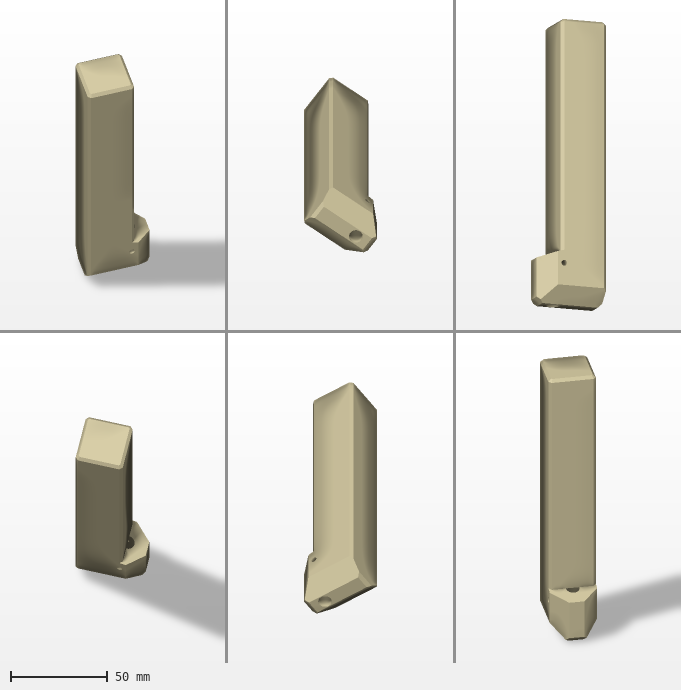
import cadquery as cq
import math

width = 25.0
length = 150.0
head_depth = 35.5
shank_depth = width

shank_chamfer = 1.5
head_chamfer = 8.5
front_toe_chamfer = 1.8
back_toe_chamfer = 3.2

head_back_height = 24.0
head_slope = math.radians(15)

cross_hole_diameter = 3.0
cross_hole_inset = 1.5
cross_hole_height = 20.2
bore_diameter = 7.0


def head_height_at(y):
    """Height of the sloping upper face at a given depth."""
    return head_back_height + (head_depth - y) * math.tan(head_slope)


def make_shank():
    """Square bar with broken long edges and upper rim."""
    bar = cq.Workplane("XY").box(width, shank_depth, length, centered=(True, False, False))
    return bar.edges("|Z").chamfer(shank_chamfer).faces(">Z").edges().chamfer(shank_chamfer)


def make_head():
    """Sloped block with broken front corners and wide bevels at the back."""
    side_outline = [
        (0, 0),
        (head_depth, 0),
        (head_depth, head_back_height),
        (shank_depth - shank_chamfer, head_height_at(shank_depth - shank_chamfer)),
        (0, head_height_at(shank_depth - shank_chamfer)),
    ]
    block = cq.Workplane("YZ").polyline(side_outline).close().extrude(width / 2, both=True)
    plan = cq.Workplane("XY").box(width, head_depth, length, centered=(True, False, False))
    plan = plan.edges("|Z and <Y").chamfer(shank_chamfer)
    plan = plan.edges("|Z and >Y").chamfer(head_chamfer)
    return block.intersect(plan)


def make_lower_end_envelope():
    """Bounding block with the bevels of the lower end."""
    block = cq.Workplane("XY").box(width, head_depth, length, centered=(True, False, False))
    sides = block.edges("|Y and <Z").chamfer(head_chamfer)
    toe_outline = [
        (front_toe_chamfer, 0),
        (head_depth - back_toe_chamfer, 0),
        (head_depth, back_toe_chamfer),
        (head_depth, length),
        (0, length),
        (0, front_toe_chamfer),
    ]
    toe = cq.Workplane("YZ").polyline(toe_outline).close().extrude(width / 2, both=True)
    return sides.intersect(toe)


def make_cross_hole():
    """Small hole through both sides, just inside the shank's back face."""
    hole = cq.Workplane("YZ").center(shank_depth - cross_hole_inset, cross_hole_height)
    return hole.circle(cross_hole_diameter / 2).extrude(width / 2, both=True)


def make_bore():
    """Upright bore centred on the shank's back face, open below and behind the shank."""
    bore = cq.Workplane("XY").center(0, shank_depth).circle(bore_diameter / 2)
    return bore.extrude(head_height_at(shank_depth))


body = make_shank().union(make_head()).intersect(make_lower_end_envelope())
result = body.cut(make_cross_hole()).cut(make_bore())